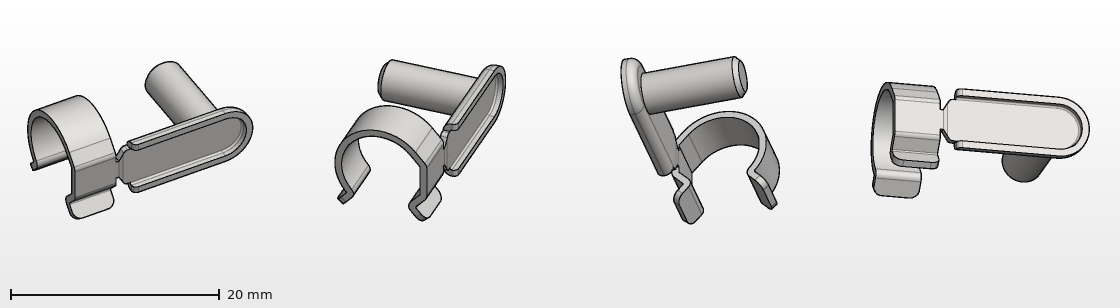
import cadquery as cq
import math

sheet = 0.7

select_margin = 0.02

pin_diameter = 4.0
pin_chamfer = 0.5

tray_face_x = 9.6
tray_depth = 1.4
tray_half_width = 3.0
tray_round_y = 0.998
tray_end_y = -9.0
bend_inner = 0.19
bend_outer = bend_inner + sheet
wall_corner_radius = 0.5

tongue_half_width = tray_half_width - bend_outer
tongue_corner_radius = 0.5
taper_start_y = -9.58
neck_y = -10.22
neck_half_width = 1.0
step_start_y = -9.82
step_shift = 0.08

clip_front_y = -15.0
clip_back_y = -10.5
clip_center_x = 5.53
clip_outer = 4.75
clip_inner = clip_outer - sheet
clip_angle = math.radians(42)
flat_inner_x = tray_face_x - step_shift
leg_length = 1.77
leg_corner_radius = 0.9
root_radius = 0.13


def make_pin():
    pin = cq.Workplane("YZ").circle(pin_diameter / 2).extrude(tray_face_x + sheet / 2)
    return pin.faces("<X").chamfer(pin_chamfer)


def tray_block(half_width, face_x, bend_radius):
    """Solid channel shape, rounded at +Y, with a bend around its -X face."""
    block = (
        cq.Workplane("YZ", origin=(face_x, 0, 0))
        .moveTo(tray_end_y, -half_width)
        .lineTo(tray_round_y, -half_width)
        .threePointArc((tray_round_y + half_width, 0), (tray_round_y, half_width))
        .lineTo(tray_end_y, half_width)
        .close()
        .extrude(tray_face_x + tray_depth - face_x)
    )
    return block.faces("<X").edges("not(<Y)").fillet(bend_radius)


def make_tray():
    outer = tray_block(tray_half_width, tray_face_x, bend_outer)
    outer = outer.edges("|Z and >X and <Y").fillet(wall_corner_radius)
    cavity = tray_block(tray_half_width - sheet, tray_face_x + sheet, bend_inner)
    return outer.cut(cavity)


def make_neck():
    outline = (
        cq.Workplane("YZ", origin=(flat_inner_x, 0, 0))
        .moveTo(tray_end_y + sheet, tongue_half_width)
        .lineTo(taper_start_y, tongue_half_width)
        .lineTo(neck_y, neck_half_width)
        .lineTo(clip_back_y, neck_half_width)
        .lineTo(clip_back_y, -neck_half_width)
        .lineTo(neck_y, -neck_half_width)
        .lineTo(taper_start_y, -tongue_half_width)
        .lineTo(tray_end_y + sheet, -tongue_half_width)
        .close()
        .extrude(sheet + step_shift)
    )
    corners = cq.selectors.BoxSelector(
        (0, taper_start_y - select_margin, -tray_half_width),
        (tray_face_x + tray_depth, taper_start_y + select_margin, tray_half_width),
    )
    outline = outline.edges("|X").edges(corners).fillet(tongue_corner_radius)
    edge_profile = (
        cq.Workplane("XY")
        .moveTo(tray_face_x, tray_end_y + sheet)
        .lineTo(tray_face_x, step_start_y)
        .lineTo(flat_inner_x, neck_y)
        .lineTo(flat_inner_x, clip_back_y)
        .lineTo(flat_inner_x + sheet, clip_back_y)
        .lineTo(flat_inner_x + sheet, neck_y)
        .lineTo(tray_face_x + sheet, step_start_y)
        .lineTo(tray_face_x + sheet, tray_end_y + sheet)
        .close()
        .extrude(tongue_half_width, both=True)
    )
    return outline.intersect(edge_profile)


def make_clip():
    cos_a = math.cos(clip_angle)
    sin_a = math.sin(clip_angle)
    cos_half = math.cos(clip_angle / 2)
    sin_half = math.sin(clip_angle / 2)
    flat_x = flat_inner_x - clip_center_x
    flat_z = (clip_inner - flat_x * cos_a) / sin_a
    root = (clip_outer * cos_a, -clip_outer * sin_a)
    bend_start = (clip_inner * cos_a, -clip_inner * sin_a)
    bend_mid = (root[0] - sheet, root[1])
    bend_end = (root[0] - sheet * cos_a, root[1] - sheet * sin_a)
    leg_x = leg_length * sin_a
    leg_z = -leg_length * cos_a
    tip_outer = (root[0] + leg_x, root[1] + leg_z)
    tip_inner = (bend_end[0] + leg_x, bend_end[1] + leg_z)

    def mirrored(point):
        return (-point[0], point[1])

    clip = (
        cq.Workplane("XZ", origin=(clip_center_x, clip_back_y, 0))
        .moveTo(*tip_outer)
        .lineTo(*root)
        .lineTo(flat_x + sheet * cos_a, -flat_z - sheet * sin_a)
        .threePointArc(
            (flat_x + sheet * cos_half, -flat_z - sheet * sin_half), (flat_x + sheet, -flat_z)
        )
        .lineTo(flat_x + sheet, flat_z)
        .threePointArc(
            (flat_x + sheet * cos_half, flat_z + sheet * sin_half),
            (flat_x + sheet * cos_a, flat_z + sheet * sin_a),
        )
        .lineTo(clip_outer * cos_a, clip_outer * sin_a)
        .threePointArc((-clip_outer * sin_a, clip_outer * cos_a), mirrored(root))
        .lineTo(*mirrored(tip_outer))
        .lineTo(*mirrored(tip_inner))
        .lineTo(*mirrored(bend_end))
        .threePointArc(mirrored(bend_mid), mirrored(bend_start))
        .threePointArc((-clip_inner * sin_a, clip_inner * cos_a), (clip_inner * cos_a, clip_inner * sin_a))
        .lineTo(flat_x, flat_z)
        .lineTo(flat_x, -flat_z)
        .lineTo(*bend_start)
        .threePointArc(bend_mid, bend_end)
        .lineTo(*tip_inner)
        .close()
        .extrude(clip_back_y - clip_front_y)
    )
    roots = cq.selectors.BoxSelector(
        (clip_center_x - root[0] - select_margin, clip_front_y, root[1] - select_margin),
        (clip_center_x + root[0] + select_margin, clip_back_y, root[1] + select_margin),
    )
    clip = clip.edges("|Y").edges(roots).fillet(root_radius)
    for side in (-1, 1):
        across_sheet = cq.Vector(side * cos_a, 0, sin_a)
        tip_edges = clip.edges(cq.selectors.ParallelDirSelector(across_sheet))
        clip = tip_edges.fillet(leg_corner_radius)
    return clip


result = make_tray().union(make_pin()).union(make_neck()).union(make_clip())